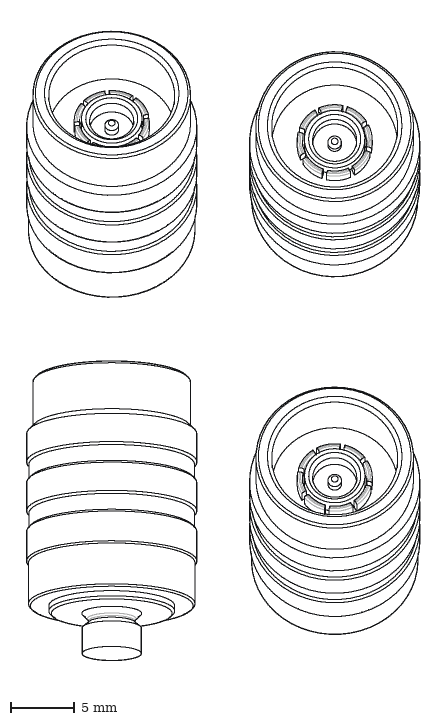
import cadquery as cq
import math

height = 22.4
band_radius = 13.5 / 2

stem_radius = 2.35
stem_top = 2.08
neck_radius = 1.85
neck_bottom = 2.5
neck_top = 2.65
neck_fillet = 0.27

flange_radius = 5.0
flange_bottom = 3.27
flange_chamfer = 0.2
base_radius = 6.6
base_bottom = 3.9
base_chamfer = 0.15
base_top = 7.4

band_top = 17.95
band_height = 2.3
band_pitch = 3.99
groove_count = 2
groove_radius = 6.56
groove_chamfer = band_radius - groove_radius

sleeve_radius = 6.25
sleeve_chamfer = 0.2

socket_radius = 5.0
socket_chamfer = 0.34
socket_depth = 4.88
floor_z = height - socket_depth

tube_top = height - 3.4
tube_outer_radius = 2.4
tube_bore_radius = 1.75
tube_chamfer = 0.31
finger_top = tube_top - 0.18
finger_inner_radius = 2.55
finger_outer_radius = 2.98
finger_tip_fillet = 0.15
finger_count = 8
finger_gap = 0.35
pin_radius = 0.54
pin_tip_radius = 0.27
pin_height = 0.9


def revolve(profile):
    """Revolve a half profile, drawn as radius and height, about the Z axis."""
    return profile.close().revolve(360, (0, 0, 0), (0, 1, 0))


def make_body():
    """Turned outer shape, outlined from the foot of the stem upwards."""
    half_turn = math.radians(22.5)
    full_turn = math.radians(45)
    fillet_middle = (
        neck_radius + neck_fillet * (1 - math.cos(half_turn)),
        neck_top + neck_fillet * math.sin(half_turn),
    )
    fillet_end = (
        neck_radius + neck_fillet * (1 - math.cos(full_turn)),
        neck_top + neck_fillet * math.sin(full_turn),
    )
    cone_top_radius = fillet_end[0] + flange_bottom - fillet_end[1]

    profile = (
        cq.Workplane("XZ")
        .moveTo(0, 0)
        .lineTo(stem_radius, 0)
        .lineTo(stem_radius, stem_top)
        .lineTo(neck_radius, neck_bottom)
        .lineTo(neck_radius, neck_top)
        .threePointArc(fillet_middle, fillet_end)
        .lineTo(cone_top_radius, flange_bottom)
        .lineTo(flange_radius - flange_chamfer, flange_bottom)
        .lineTo(flange_radius, flange_bottom + flange_chamfer)
        .lineTo(flange_radius, base_bottom)
        .lineTo(base_radius - base_chamfer, base_bottom)
        .lineTo(base_radius, base_bottom + base_chamfer)
        .lineTo(base_radius, base_top)
        .lineTo(band_radius, base_top + band_radius - base_radius)
        .lineTo(band_radius, band_top)
        .lineTo(sleeve_radius, band_top + band_radius - sleeve_radius)
        .lineTo(sleeve_radius, height - sleeve_chamfer)
        .lineTo(sleeve_radius - sleeve_chamfer, height)
        .lineTo(0, height)
    )
    return revolve(profile)


def make_grip_groove(groove_top, groove_bottom):
    """Ring that cuts one grip groove with 45 degree sides."""
    clear_radius = band_radius + groove_chamfer
    profile = (
        cq.Workplane("XZ")
        .moveTo(clear_radius, groove_top + groove_chamfer)
        .lineTo(groove_radius, groove_top - groove_chamfer)
        .lineTo(groove_radius, groove_bottom + groove_chamfer)
        .lineTo(clear_radius, groove_bottom - groove_chamfer)
    )
    return revolve(profile)


def make_socket():
    """Flat-bottomed socket with a chamfered mouth."""
    profile = (
        cq.Workplane("XZ")
        .moveTo(0, floor_z)
        .lineTo(socket_radius, floor_z)
        .lineTo(socket_radius, height - socket_chamfer)
        .lineTo(socket_radius + socket_chamfer, height)
        .lineTo(0, height)
    )
    return revolve(profile)


def make_tube():
    """Central tube with a countersunk mouth."""
    profile = (
        cq.Workplane("XZ")
        .moveTo(tube_bore_radius, floor_z)
        .lineTo(tube_outer_radius, floor_z)
        .lineTo(tube_outer_radius, tube_top)
        .lineTo(tube_bore_radius + tube_chamfer, tube_top)
        .lineTo(tube_bore_radius, tube_top - tube_chamfer)
    )
    return revolve(profile)


def make_fingers():
    """Ring of round-edged fingers parted by parallel-sided radial gaps."""
    finger_height = finger_top - floor_z
    fingers = (
        cq.Workplane("XY", origin=(0, 0, floor_z))
        .circle(finger_outer_radius)
        .circle(finger_inner_radius)
        .extrude(finger_height)
        .faces(">Z")
        .edges()
        .fillet(finger_tip_fillet)
    )

    finger_angle = 360 / finger_count
    gap = (
        cq.Workplane("XY", origin=(0, 0, floor_z))
        .rect(socket_radius, finger_gap)
        .extrude(finger_height)
        .translate((socket_radius / 2, 0, 0))
    )
    for index in range(finger_count):
        fingers = fingers.cut(gap.rotate((0, 0, 0), (0, 0, 1), (index + 0.5) * finger_angle))
    return fingers


def make_pin():
    """Center contact pin with a conical tip."""
    tip_height = pin_radius - pin_tip_radius
    profile = (
        cq.Workplane("XZ")
        .moveTo(0, floor_z)
        .lineTo(pin_radius, floor_z)
        .lineTo(pin_radius, floor_z + pin_height - tip_height)
        .lineTo(pin_tip_radius, floor_z + pin_height)
        .lineTo(0, floor_z + pin_height)
    )
    return revolve(profile)


result = make_body()
for groove_index in range(groove_count):
    upper_edge = band_top - band_height - groove_index * band_pitch
    lower_edge = band_top - (groove_index + 1) * band_pitch
    result = result.cut(make_grip_groove(upper_edge, lower_edge))
result = result.cut(make_socket())
result = result.union(make_tube()).union(make_fingers()).union(make_pin())